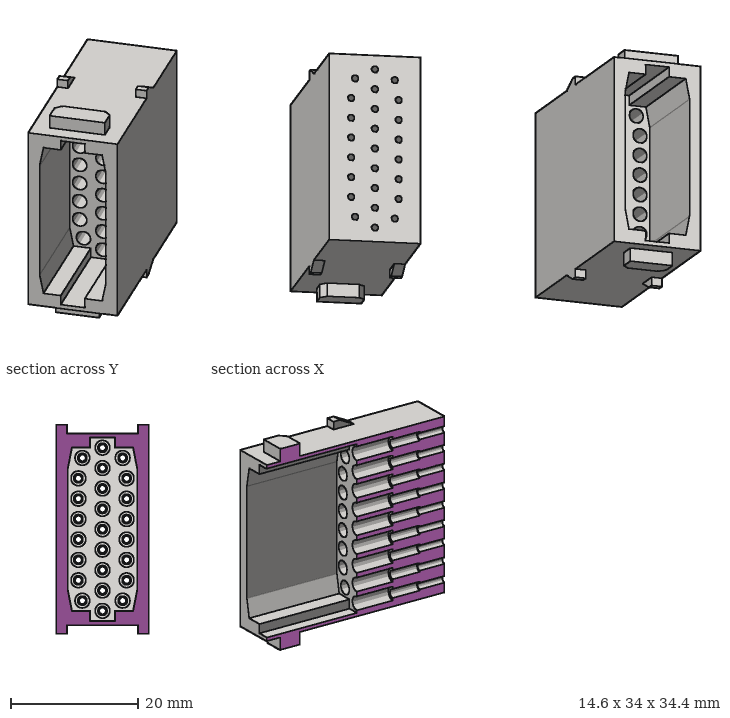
import cadquery as cq

width = 14.6
depth = 34.0
overall_height = 34.4
key_height = 2.15
body_height = overall_height - 2 * key_height
front_y = -depth / 2

top_key_width = 9.0
bottom_key_width = 7.1
key_length = 3.8
key_setback = 2.58
key_chamfer = 1.0

latch_width = 1.75
latch_height = 1.35
latch_setback = 16.65
latch_flat = 1.2
latch_length = 3.9

cavity_width = 10.85
cavity_end_width = 9.55
cavity_height = 25.6
cavity_taper_start = 9.55
slot_width = 3.92
slot_height = 28.75
cavity_depth = 17.2

contact_pitch = 3.2
center_count = 9
side_count = 8
side_column_x = 3.8
end_contact_x = 3.15
seat_diameter = 2.3
seat_depth = 6.88
neck_diameter = 1.45
neck_depth = 12.05
through_diameter = 1.03


def make_key(key_width, side):
    """Key block standing on the top (side=1) or bottom (side=-1) face."""
    start_z = body_height / 2
    key = (
        cq.Workplane("XY")
        .workplane(offset=side * start_z)
        .center(0, front_y + key_setback + key_length / 2)
        .rect(key_width, key_length)
        .extrude(side * key_height)
    )
    return key.edges("|Z and >Y").chamfer(key_chamfer)


def make_latches(side):
    """Pair of ramped latches on the top (side=1) or bottom (side=-1) face."""
    base_z = side * body_height / 2
    crest_z = base_z + side * latch_height
    catch_y = front_y + latch_setback
    profile = [
        (catch_y, base_z),
        (catch_y, crest_z),
        (catch_y + latch_flat, crest_z),
        (catch_y + latch_length, base_z),
    ]
    left_latch = (
        cq.Workplane("YZ")
        .workplane(offset=-width / 2)
        .polyline(profile)
        .close()
        .extrude(latch_width)
    )
    return left_latch.union(left_latch.mirror("YZ"))


def make_cavity():
    """Tapered pocket with a central slot above and below."""
    upper_right = [
        (cavity_width / 2, cavity_taper_start),
        (cavity_end_width / 2, cavity_height / 2),
        (slot_width / 2, cavity_height / 2),
        (slot_width / 2, slot_height / 2),
    ]
    upper_left = [(-x, z) for x, z in reversed(upper_right)]
    upper_half = upper_right + upper_left
    lower_half = [(-x, -z) for x, z in upper_half]
    return (
        cq.Workplane("XZ", origin=(0, front_y, 0))
        .polyline(upper_half + lower_half)
        .close()
        .extrude(-cavity_depth)
    )


def contact_positions():
    """X, Z centres of the middle column and the two staggered side columns."""
    points = [(0, (i - (center_count - 1) / 2) * contact_pitch) for i in range(center_count)]
    for side in (-1, 1):
        for i in range(side_count):
            is_end = i in (0, side_count - 1)
            x = end_contact_x if is_end else side_column_x
            points.append((side * x, (i - (side_count - 1) / 2) * contact_pitch))
    return points


def make_contact_bores(diameter, length):
    """One bore at every contact, running back from the cavity floor."""
    return (
        cq.Workplane("XZ", origin=(0, front_y + cavity_depth, 0))
        .pushPoints(contact_positions())
        .circle(diameter / 2)
        .extrude(-length)
    )


result = cq.Workplane("XY").box(width, depth, body_height)
result = result.union(make_key(top_key_width, 1)).union(make_key(bottom_key_width, -1))
for face_side in (1, -1):
    result = result.union(make_latches(face_side))

result = result.cut(make_cavity())
result = result.cut(make_contact_bores(seat_diameter, seat_depth))
result = result.cut(make_contact_bores(neck_diameter, neck_depth))
result = result.cut(make_contact_bores(through_diameter, depth - cavity_depth))